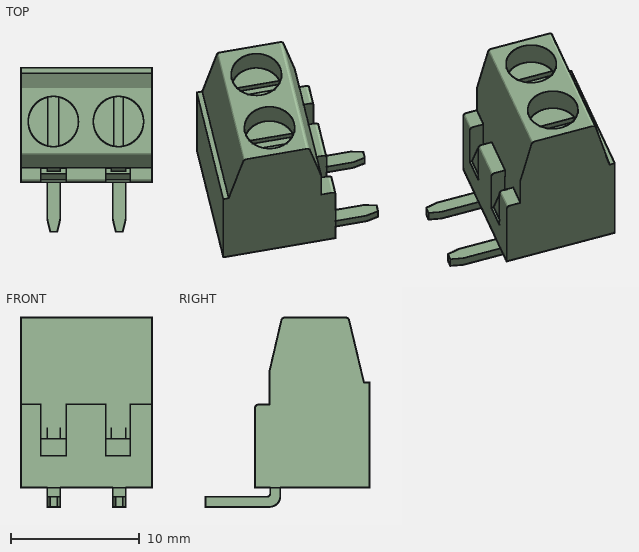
import cadquery as cq


width = 10.16
depth = 8.9
height = 13.2
pitch = 5.08
edge_radius = 0.3

front_step_depth = 1.13
front_step_z = 6.45
front_slope_z = 9.03
front_top_y = 2.1
back_step_depth = 0.43
back_step_z = 8.16
back_top_y = 7.27

screw_x = [2.51, 7.56]
screw_y = 4.72
well_diameter = 3.9
well_depth = 2.0
screw_slot_widths = [0.85, 0.76]
screw_slot_depth = 0.5

notch_spans = [(1.55, 3.51), (6.59, 8.48)]
notch_floor_z = 2.49
ramp_foot_y = 0.19
ramp_top_y = 0.66
ramp_top_z = 3.79
back_wall_bend_z = 5.92
back_wall_foot_y = 1.1

wedge_spans = [(2.02, 3.03), (6.99, 8.13)]
wedge_foot_y = 0.86
wedge_top_z = 4.62

pin_x = [(width - pitch) / 2, (width + pitch) / 2]
pin_width = 1.02
pin_thickness = 0.8
pin_drop = 1.5
pin_front_y = 1.19
pin_tip_y = -3.83
pin_taper_length = 0.97
pin_tip_width = 0.56
pin_inner_radius = 0.25
pin_outer_radius = 0.85
pin_embed = 0.5


def extrude_along_x(points, x_start, x_end):
    """Prism with the given (Y, Z) outline between two X positions."""
    return (
        cq.Workplane("YZ", origin=(x_start, 0, 0))
        .polyline(points)
        .close()
        .extrude(x_end - x_start)
    )


def round_edge_along_x(body, y, z):
    """Fillet the long edge that runs along X through (Y, Z)."""
    return body.edges(cq.selectors.NearestToPointSelector((width / 2, y, z))).fillet(edge_radius)


def make_housing():
    back_step_y = depth - back_step_depth
    outline = [
        (0, 0),
        (0, front_step_z),
        (front_step_depth, front_step_z),
        (front_step_depth, front_slope_z),
        (front_top_y, height),
        (back_top_y, height),
        (back_step_y, back_step_z),
        (depth, back_step_z),
        (depth, 0),
    ]
    body = extrude_along_x(outline, 0, width)
    body = round_edge_along_x(body, 0, front_step_z)
    body = round_edge_along_x(body, front_top_y, height)
    return round_edge_along_x(body, back_top_y, height)


def make_screw_well(x, slot_width):
    """Round well with a screwdriver slot across its floor, as a cutting tool."""
    floor_z = height - well_depth
    well = (
        cq.Workplane("XY", origin=(x, screw_y, floor_z))
        .circle(well_diameter / 2)
        .extrude(well_depth)
    )
    slot_base = cq.Workplane("XY", origin=(x, screw_y, floor_z - screw_slot_depth))
    slot = slot_base.rect(slot_width, well_diameter).extrude(screw_slot_depth)
    round_limit = slot_base.circle(well_diameter / 2).extrude(screw_slot_depth)
    return well.union(slot.intersect(round_limit))


def make_notch(x_start, x_end):
    """Open-topped notch with a lip, a ramp, a ledge and a slightly leaning back wall, as a cutting tool."""
    outline = [
        (0, notch_floor_z),
        (ramp_foot_y, notch_floor_z),
        (ramp_top_y, ramp_top_z),
        (back_wall_foot_y, ramp_top_z),
        (front_step_depth, back_wall_bend_z),
        (front_step_depth, front_step_z),
        (0, front_step_z),
    ]
    return extrude_along_x(outline, x_start, x_end)


def make_wedge(x_start, x_end):
    """Wedge whose slope ends where it meets the leaning back wall of the notch."""
    rise_fraction = (wedge_top_z - ramp_top_z) / (back_wall_bend_z - ramp_top_z)
    wedge_top_y = back_wall_foot_y + rise_fraction * (front_step_depth - back_wall_foot_y)
    outline = [
        (wedge_foot_y, ramp_top_z),
        (wedge_top_y, wedge_top_z),
        (front_step_depth, wedge_top_z),
        (front_step_depth, ramp_top_z),
    ]
    return extrude_along_x(outline, x_start, x_end)


def make_pin(x):
    """Pin that leaves the base downwards and bends forwards to a tapered tip."""
    back_y = pin_front_y + pin_thickness
    shelf_z = pin_thickness - pin_drop
    outline = [
        (pin_front_y, pin_embed),
        (pin_front_y, shelf_z),
        (pin_tip_y, shelf_z),
        (pin_tip_y, -pin_drop),
        (back_y, -pin_drop),
        (back_y, pin_embed),
    ]
    pin = extrude_along_x(outline, x - pin_width / 2, x + pin_width / 2)
    inner_corner = cq.selectors.NearestToPointSelector((x, pin_front_y, shelf_z))
    pin = pin.edges(inner_corner).fillet(pin_inner_radius)
    outer_corner = cq.selectors.NearestToPointSelector((x, back_y, -pin_drop))
    pin = pin.edges(outer_corner).fillet(pin_outer_radius)

    taper_y = pin_tip_y + pin_taper_length
    plan = (
        cq.Workplane("XY", origin=(x, 0, -pin_drop))
        .polyline([
            (-pin_tip_width / 2, pin_tip_y),
            (pin_tip_width / 2, pin_tip_y),
            (pin_width / 2, taper_y),
            (pin_width / 2, back_y),
            (-pin_width / 2, back_y),
            (-pin_width / 2, taper_y),
        ])
        .close()
        .extrude(pin_drop + pin_embed)
    )
    return pin.intersect(plan)


result = make_housing()
for x, slot_width in zip(screw_x, screw_slot_widths):
    result = result.cut(make_screw_well(x, slot_width))
for span in notch_spans:
    result = result.cut(make_notch(*span))
for span in wedge_spans:
    result = result.union(make_wedge(*span))
for x in pin_x:
    result = result.union(make_pin(x))